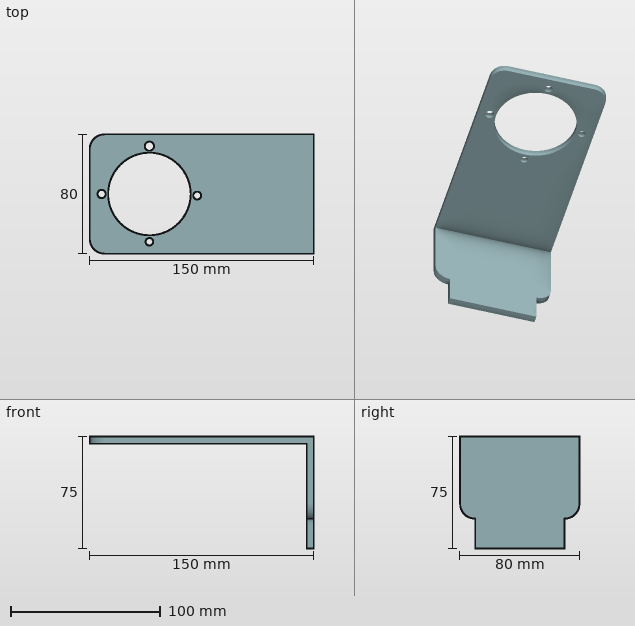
import cadquery as cq

length = 150.0
width = 80.0
height = 75.0
thickness = 5.0
corner_radius = 10.0
shoulder_depth = 55.0
tab_width = width - 2 * corner_radius

bore_diameter = 55.0
bore_x = width / 2
screw_offset = 32.0
right_hole_drop = 1.0

screw_holes = [
    (0, screw_offset, 6.0),
    (-screw_offset, 0, 5.4),
    (screw_offset, -right_hole_drop, 5.1),
    (0, -screw_offset, 5.0),
]


def plate_hole(x, y, diameter):
    """Cylinder that cuts right through the horizontal plate."""
    return (
        cq.Workplane("XY", origin=(x, y, height - thickness))
        .circle(diameter / 2)
        .extrude(thickness)
    )


def horizontal_plate():
    """Top plate with a rounded free end, a large bore and four screw holes."""
    plate = (
        cq.Workplane("XY", origin=(0, 0, height - thickness))
        .box(length, width, thickness, centered=(False, True, False))
        .edges("|Z and <X")
        .fillet(corner_radius)
    )
    plate = plate.cut(plate_hole(bore_x, 0, bore_diameter))
    for x_offset, y_offset, diameter in screw_holes:
        plate = plate.cut(plate_hole(bore_x + x_offset, y_offset, diameter))
    return plate


def vertical_flange():
    """Flange below the plate, with rounded shoulders and a narrower tab."""
    inner_x = length - thickness
    panel = (
        cq.Workplane("XY", origin=(inner_x, 0, height - shoulder_depth))
        .box(thickness, width, shoulder_depth, centered=(False, True, False))
        .edges("|X and <Z")
        .fillet(corner_radius)
    )
    tab = cq.Workplane("XY", origin=(inner_x, 0, 0)).box(
        thickness, tab_width, height, centered=(False, True, False)
    )
    return panel.union(tab)


result = horizontal_plate().union(vertical_flange()).clean()